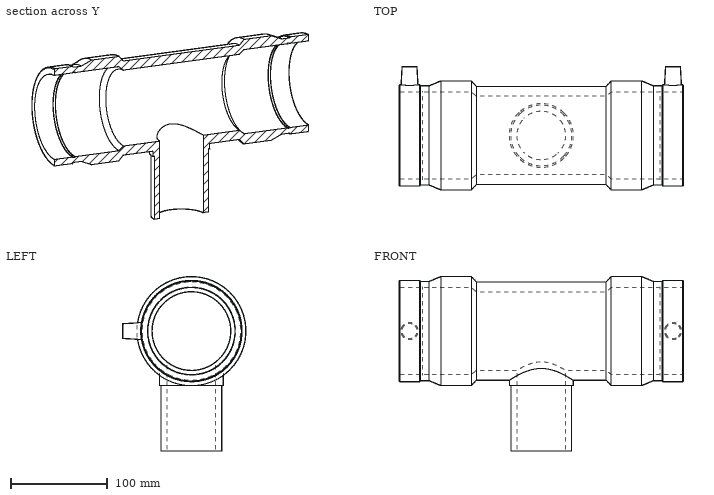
import cadquery as cq

length = 294.0
half_length = length / 2
body_d = 101.7
bore_d = 81.0

rim_d = 105.0
rim_chamfer = 1.0
rim_end = 22.0
neck_d = 103.0
neck_end = 31.2
sleeve_d = 113.0
sleeve_start = 43.2
sleeve_end = 74.7
body_start = 80.0

socket_d = 90.0
groove_d = 91.0
groove_start = 21.5
groove_end = 24.0
taper_start = sleeve_end
taper_end = body_start

branch_d = 63.0
branch_bore_d = 50.3
branch_collar_d = 66.2
branch_collar_reach = 56.5
branch_reach = 124.0

terminal_reach = 71.1
terminal_base_y = 50.0
terminal_inset = 11.0
terminal_base_d = 18.0
terminal_tip_d = 15.5


def half_outline(end_stations):
    """Turn (distance from end, diameter) pairs into a half outline for revolving about X."""
    left = [(-half_length + inset, diameter / 2) for inset, diameter in end_stations]
    right = [(-x, radius) for x, radius in reversed(left)]
    return [(-half_length, 0)] + left + right + [(half_length, 0)]


def revolved(end_stations):
    """Solid of revolution about X, the same at both ends."""
    outline = cq.Workplane("XY").polyline(half_outline(end_stations)).close()
    return outline.revolve(360, (0, 0, 0), (1, 0, 0))


def downward_cylinder(diameter, reach):
    """Vertical cylinder from the pipe axis down to the given reach."""
    return cq.Workplane("XY").circle(diameter / 2).extrude(-reach)


def terminal(x):
    """Tapered plain terminal post standing on a coupling rim."""
    base = cq.Workplane("XZ", origin=(x, terminal_base_y, 0)).circle(terminal_base_d / 2)
    tip = base.workplane(offset=terminal_base_y - terminal_reach).circle(terminal_tip_d / 2)
    return tip.loft(combine=True)


outer_stations = [
    (0, rim_d - 2 * rim_chamfer),
    (rim_chamfer, rim_d),
    (rim_end - rim_chamfer, rim_d),
    (rim_end, neck_d),
    (neck_end, neck_d),
    (sleeve_start, sleeve_d),
    (sleeve_end, sleeve_d),
    (body_start, body_d),
]
bore_stations = [
    (0, socket_d),
    (groove_start, socket_d),
    (groove_start, groove_d),
    (groove_end, groove_d),
    (groove_end, socket_d),
    (taper_start, socket_d),
    (taper_end, bore_d),
]

result = revolved(outer_stations)
result = result.union(downward_cylinder(branch_collar_d, branch_collar_reach))
result = result.union(downward_cylinder(branch_d, branch_reach))
for side in (-1, 1):
    result = result.union(terminal(side * (half_length - terminal_inset)))

result = result.cut(revolved(bore_stations))
result = result.cut(downward_cylinder(branch_bore_d, branch_reach))